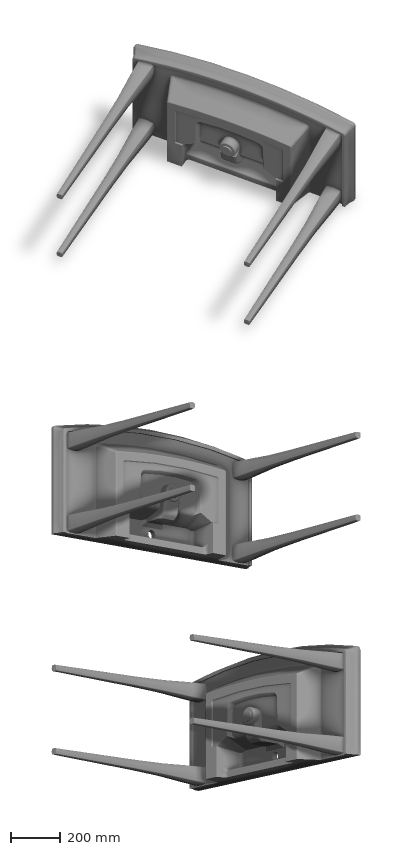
import cadquery as cq
import math


pick_margin = 1.0
clear_margin = 10.0

rim_half_width = 500.0
rim_bottom = 4.0
rim_crown = 510.0
front_arc_radius = 2249.0
rim_corner_radius = 15.0
rim_top_fillet = 7.0
rim_lower_fillet = 5.0
rim_band_depth = 19.0
rim_depth = 66.0
rim_taper = 20.0
rim_side_taper = 17.0
cove_depth = 40.0
cove_share = 0.68
lip_width = 14.0
lip_height = 10.0
underside_depth = rim_depth - lip_height

skirt_depth = 155.0
skirt_base_half_width = 315.0
skirt_base_crown = 424.0
skirt_base_corner_radius = 15.0
skirt_end_half_width = 282.0
skirt_end_crown = 370.0
skirt_end_corner_radius = 10.0
skirt_base_arc_radius = 2299.0
skirt_end_arc_radius = 2599.0
skirt_root_fillet = 8.0
skirt_end_fillet = 5.0

panel_depth = 150.0
panel_half_width = 242.0
panel_bottom = 130.0
panel_crown = 333.0
panel_arc_radius = 1999.0
panel_corner_radius = 8.0
panel_draft = 35.0
pocket_depth = 132.0
pocket_mouth_half_widths = (156.0, 150.0)
pocket_mouth_crown = 308.0
pocket_floor_half_widths = (144.0, 139.0)
pocket_floor_crown = 296.0
pocket_bottom = 150.0
pocket_arc_radius = 900.0
pocket_corner_radius = 25.0
pocket_mouth_fillet = 4.0
pocket_sill_fillet = 22.0

deck_depth = 25.0
recess_mouth_half_width = 214.0
recess_mouth_shoulder = 128.0
recess_mouth_top = 162.0
recess_mouth_top_half_width = 156.0
recess_back_half_width = 209.0
recess_back_shoulder = 113.0
recess_back_top = 122.0
recess_back_top_half_width = 178.0
shelf_depth = 108.0
shelf_top = 32.0
shelf_edge_fillet = 6.0
recess_fillet = 15.0
tap_hole_radius = 18.0
tap_hole_z = 71.0

drain_z = 218.0
drain_radius = 38.0
drain_depth = 173.0
drain_edge_fillet = 6.0
drain_ring_radius = 22.0
drain_ring_depth = 179.0
channel_half_width = 39.0
channel_fillet = 12.0
channel_toe_fillet = 25.0
channel_heel_z = 184.0
channel_toe_depth = 153.0
channel_toe_z = 129.0
channel_sole_depth = 132.0
channel_sole_z = 114.0
channel_flare = 16.0

leg_x = 425.0
leg_low_z = 46.0
leg_high_z = 392.0
leg_foot_depth = 851.0
leg_collar = (underside_depth, 38.0)
leg_collar_end = (119.0, 35.0)
leg_taper_middle = (254.0, 26.0)
leg_taper_end = (420.0, 20.5)
leg_foot = (leg_foot_depth, 13.0)
leg_side_flat = 0.74
leg_side_sag = 0.9
leg_corner_reach = 0.85


def plane_at(depth):
    """Workplane at a depth, with local x along X, local y along Z, facing -Y."""
    return cq.Workplane("XZ").workplane(offset=depth)


def arched_outline(bottom_half, top_half, bottom, crown, arc_radius, corner_radius):
    """Outline with a flat bottom, straight sides and an arched top with round corners."""
    shoulder = crown - arc_radius + math.sqrt(arc_radius**2 - top_half**2)
    return (
        cq.Sketch()
        .segment((-bottom_half, bottom), (bottom_half, bottom))
        .segment((top_half, shoulder))
        .arc((top_half, shoulder), (0, crown), (-top_half, shoulder))
        .segment((-top_half, shoulder), (-bottom_half, bottom))
        .assemble()
        .vertices(">Y")
        .fillet(corner_radius)
        .reset()
    )


def loft_outlines(sections, ruled=False):
    """Loft through (depth, outline) pairs listed from the shallowest to the deepest."""
    start = sections[0][0]
    placed = [outline.moved(cq.Location(cq.Vector(0, 0, depth - start))) for depth, outline in sections]
    return plane_at(start).placeSketch(*placed).loft(ruled=ruled)


def rim_outline(taper_share, extra_inset=0.0, bottom=rim_bottom):
    half_width = rim_half_width - rim_side_taper * taper_share - extra_inset
    crown_drop = rim_taper * taper_share + extra_inset
    return arched_outline(
        half_width, half_width, bottom, rim_crown - crown_drop, front_arc_radius, rim_corner_radius
    )


def arch_edges(half_width, depth, crown):
    """Selector for the side and top edges of an arched outline at one depth."""
    return cq.selectors.BoxSelector(
        (-half_width - pick_margin, -depth - pick_margin, rim_bottom + pick_margin),
        (half_width + pick_margin, -depth + pick_margin, crown + pick_margin),
    )


def make_rim():
    """Slab with an upright band, a coved taper below it and a sunk underside within a lip."""
    band = plane_at(0).placeSketch(rim_outline(0)).extrude(rim_band_depth)
    band = band.edges(arch_edges(rim_half_width, 0, rim_crown)).fillet(rim_top_fillet)
    cove = loft_outlines(
        [(rim_band_depth, rim_outline(0)), (cove_depth, rim_outline(cove_share)), (rim_depth, rim_outline(1))]
    )
    cove = cove.edges(arch_edges(rim_half_width, rim_depth, rim_crown)).fillet(rim_lower_fillet)
    underside = plane_at(underside_depth).placeSketch(
        rim_outline(1, lip_width, bottom=rim_bottom - lip_width)
    ).extrude(lip_height)
    return band.union(cove).cut(underside)


def make_skirt():
    """Tapered block whose feet reach down to Z = 0 at the end face."""
    base = arched_outline(
        skirt_base_half_width, skirt_base_half_width,
        rim_bottom, skirt_base_crown, skirt_base_arc_radius, skirt_base_corner_radius,
    )
    end = arched_outline(
        skirt_end_half_width, skirt_end_half_width,
        0, skirt_end_crown, skirt_end_arc_radius, skirt_end_corner_radius,
    )
    skirt = loft_outlines([(underside_depth, base), (skirt_depth, end)], ruled=True)
    return skirt.edges(arch_edges(skirt_end_half_width, skirt_depth, skirt_end_crown)).fillet(skirt_end_fillet)


def make_panel():
    outline = arched_outline(
        panel_half_width, panel_half_width, panel_bottom, panel_crown, panel_arc_radius, panel_corner_radius
    )
    return plane_at(panel_depth).placeSketch(outline).extrude(skirt_depth - panel_depth, taper=-panel_draft)


def make_pocket():
    floor = arched_outline(
        *pocket_floor_half_widths, pocket_bottom, pocket_floor_crown, pocket_arc_radius, pocket_corner_radius
    )
    mouth = arched_outline(
        *pocket_mouth_half_widths, pocket_bottom, pocket_mouth_crown, pocket_arc_radius, pocket_corner_radius
    )
    return loft_outlines([(pocket_depth, floor), (panel_depth, mouth)], ruled=True)


def recess_outline(half_width, shoulder, top, top_half_width):
    below = -clear_margin
    return cq.Sketch().polygon([
        (-half_width, below), (half_width, below), (half_width, shoulder), (top_half_width, top),
        (-top_half_width, top), (-half_width, shoulder), (-half_width, below),
    ])


def make_deck_recess():
    """Space under the bowl, with the shelf at its bottom left standing."""
    back = recess_outline(
        recess_back_half_width, recess_back_shoulder, recess_back_top, recess_back_top_half_width
    )
    mouth = recess_outline(
        recess_mouth_half_width, recess_mouth_shoulder, recess_mouth_top, recess_mouth_top_half_width
    )
    space = loft_outlines([(deck_depth, back), (skirt_depth, mouth)], ruled=True)
    shelf = cq.Workplane("XY").box(2 * rim_half_width, shelf_depth, 2 * shelf_top)
    space = space.cut(shelf.translate((0, -shelf_depth / 2, 0)))
    corners = cq.selectors.BoxSelector(
        (-rim_half_width, -shelf_depth - pick_margin, 0),
        (rim_half_width, 0, recess_back_shoulder - pick_margin),
    )
    shelf_edge = cq.selectors.BoxSelector(
        (-pick_margin, -shelf_depth - pick_margin, shelf_top - pick_margin),
        (pick_margin, -shelf_depth + pick_margin, shelf_top + pick_margin),
    )
    space = space.edges(corners - shelf_edge).fillet(recess_fillet)
    return space.edges(shelf_edge).fillet(shelf_edge_fillet)


def make_drain():
    boss = plane_at(deck_depth).center(0, drain_z).circle(drain_radius).extrude(drain_depth - deck_depth)
    boss = boss.faces("<Y").edges().fillet(drain_edge_fillet)
    ring = plane_at(drain_depth).center(0, drain_z).circle(drain_ring_radius)
    return boss.union(ring.extrude(drain_ring_depth - drain_depth))


def make_channel():
    """Sloping channel from the drain down to a flared foot on the tap deck."""
    profile = [
        (-deck_depth, channel_sole_z),
        (-channel_sole_depth, channel_sole_z),
        (-channel_toe_depth, channel_toe_z),
        (-drain_depth + drain_edge_fillet, channel_heel_z),
        (-pocket_depth, drain_z),
        (-deck_depth, drain_z),
    ]
    channel = cq.Workplane("YZ").polyline(profile).close().extrude(channel_half_width, both=True)
    toe = cq.selectors.NearestToPointSelector((0, -channel_toe_depth, channel_toe_z))
    front = cq.selectors.BoxSelector(
        (-rim_half_width, -drain_depth, channel_toe_z),
        (rim_half_width, -channel_toe_depth, drain_z - clear_margin),
    )
    channel = channel.edges(toe).fillet(channel_toe_fillet)
    channel = channel.edges("not(|X)").edges(front).fillet(channel_fillet)
    foot_top = recess_back_top + channel_flare
    foot_height = foot_top - channel_sole_z
    foot = (
        plane_at(deck_depth)
        .center(0, foot_top - foot_height / 2)
        .rect(2 * (channel_half_width + channel_flare), foot_height + 2 * channel_flare)
        .workplane(offset=channel_flare)
        .rect(2 * channel_half_width, foot_height)
        .loft()
    )
    return channel.union(foot)


def make_tap_hole():
    return plane_at(0).center(0, tap_hole_z).circle(tap_hole_radius).extrude(skirt_depth)


def make_basin():
    basin = make_rim().union(make_skirt())
    skirt_root = arch_edges(skirt_base_half_width, underside_depth, skirt_base_crown)
    basin = basin.edges(skirt_root).fillet(skirt_root_fillet)
    basin = basin.cut(make_panel()).cut(make_pocket()).cut(make_deck_recess())
    sill_edge = cq.selectors.NearestToPointSelector((0, -pocket_depth, recess_mouth_top))
    basin = basin.edges(sill_edge).fillet(pocket_sill_fillet)
    pocket_mouth = cq.selectors.BoxSelector(
        (-panel_half_width + clear_margin, -panel_depth - pick_margin, recess_mouth_top + clear_margin),
        (panel_half_width - clear_margin, -panel_depth + pick_margin, pocket_mouth_crown + pick_margin),
    )
    basin = basin.edges(pocket_mouth).fillet(pocket_mouth_fillet)
    basin = basin.union(make_drain()).union(make_channel())
    return basin.cut(make_tap_hole())


def leg_section(x, z, depth, half):
    """Square wire with bulging sides and round corners."""
    flat = leg_side_flat * half
    side = leg_side_sag * half
    corner = leg_corner_reach * half
    wire = plane_at(depth).center(x, z).moveTo(-flat, side)
    wire = wire.threePointArc((0, half), (flat, side)).threePointArc((corner, corner), (side, flat))
    wire = wire.threePointArc((half, 0), (side, -flat)).threePointArc((corner, -corner), (flat, -side))
    wire = wire.threePointArc((0, -half), (-flat, -side)).threePointArc((-corner, -corner), (-side, -flat))
    wire = wire.threePointArc((-half, 0), (-side, flat)).threePointArc((-corner, corner), (-flat, side))
    return wire.close().val()


def make_leg(x, z):
    collar_top, collar_end, middle, taper_end, foot = (
        leg_section(x, z, depth, half)
        for depth, half in (leg_collar, leg_collar_end, leg_taper_middle, leg_taper_end, leg_foot)
    )
    collar = cq.Solid.makeLoft([collar_top, collar_end], True)
    taper = cq.Solid.makeLoft([collar_end, middle, taper_end])
    shank = cq.Solid.makeLoft([taper_end, foot], True)
    return cq.Workplane(collar).union(cq.Workplane(taper)).union(cq.Workplane(shank))


basin = make_basin()
legs = [make_leg(x, z) for x in (-leg_x, leg_x) for z in (leg_low_z, leg_high_z)]

result = cq.Compound.makeCompound([basin.val(), *[leg.val() for leg in legs]])